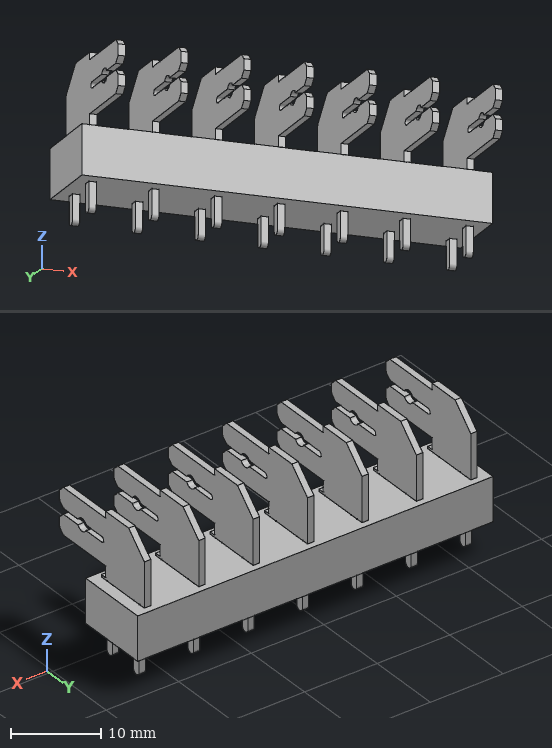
import cadquery as cq

housing_length = 49.0
housing_depth = 9.8
housing_height = 6.0

contact_count = 7
contact_pitch = 7.5
contact_thickness = 0.9

plate_margin = 0.9
plate_height = 9.0
plate_back_chamfer = 2.95
foot_height = 0.3
foot_front = 0.85
foot_projection = 0.8

plate_back = housing_depth - plate_margin
plate_front = foot_front + foot_projection

tongue_tip = -7.05
tongue_drop = 0.9
tongue_height = 6.3
prong_chamfer = 0.75
slot_width = 0.75
slot_end = 1.25
relief_diameter = 1.65
relief_y = -2.8

tongue_top = plate_height - tongue_drop
tongue_bottom = tongue_top - tongue_height
tongue_middle = tongue_top - tongue_height / 2
prong_height = (tongue_height - slot_width) / 2

pin_width = 1.1
pin_spacing = 5.0
pin_middle = housing_depth / 2
pin_projection = 3.55

pin_end = -housing_height - pin_projection
pin_places = [pin_middle - pin_spacing / 2, pin_middle + pin_spacing / 2]

first_contact = -contact_pitch * (contact_count - 1) / 2
contact_places = [first_contact + i * contact_pitch for i in range(contact_count)]


def extrude_thickness(outline):
    """Extrude a closed Y-Z outline to the contact thickness, centred on X = 0."""
    return outline.extrude(contact_thickness / 2, both=True)


def make_block(y_low, y_high, z_low, z_high):
    """Block of contact thickness, centred on X = 0."""
    outline = cq.Workplane("YZ").moveTo(y_low, z_low).lineTo(y_high, z_low)
    outline = outline.lineTo(y_high, z_high).lineTo(y_low, z_high).close()
    return extrude_thickness(outline)


def make_plate():
    """Upright plate with a chamfered back corner and a low foot in front."""
    outline = (
        cq.Workplane("YZ")
        .moveTo(plate_back, 0)
        .lineTo(plate_back, plate_height - plate_back_chamfer)
        .lineTo(plate_back - plate_back_chamfer, plate_height)
        .lineTo(plate_front, plate_height)
        .lineTo(plate_front, foot_height)
        .lineTo(foot_front, foot_height)
        .lineTo(foot_front, 0)
        .close()
    )
    return extrude_thickness(outline)


def make_prong(z_low):
    """One prong of the fork, with both corners of its tip chamfered."""
    prong = make_block(tongue_tip, plate_front, z_low, z_low + prong_height)
    return prong.faces("<Y").edges("|X").chamfer(prong_chamfer)


def make_pin(y):
    """Solder pin reaching down through the housing, with a fully rounded tip."""
    tip_radius = pin_width / 2
    tip_start = pin_end + tip_radius
    outline = (
        cq.Workplane("YZ")
        .moveTo(y - tip_radius, 0)
        .lineTo(y - tip_radius, tip_start)
        .threePointArc((y, pin_end), (y + tip_radius, tip_start))
        .lineTo(y + tip_radius, 0)
        .close()
    )
    return extrude_thickness(outline)


def make_slot_web():
    """Web between the prongs that ends in the concave round end of the slot."""
    slot_radius = slot_width / 2
    web_low = tongue_middle - slot_radius
    web_high = tongue_middle + slot_radius
    arc_start = slot_end - slot_radius
    outline = (
        cq.Workplane("YZ")
        .moveTo(plate_front, web_low)
        .lineTo(arc_start, web_low)
        .threePointArc((slot_end, tongue_middle), (arc_start, web_high))
        .lineTo(plate_front, web_high)
        .close()
    )
    return extrude_thickness(outline)


def make_contact():
    """Complete contact at X = 0: plate, forked tongue and two solder pins."""
    contact = make_plate().union(make_slot_web())
    for z_low in (tongue_bottom, tongue_top - prong_height):
        contact = contact.union(make_prong(z_low))
    for y in pin_places:
        contact = contact.union(make_pin(y))
    relief = cq.Workplane("YZ").center(relief_y, tongue_middle).circle(relief_diameter / 2)
    return contact.cut(extrude_thickness(relief))


def make_housing():
    """Block with a rectangular through hole for each solder pin."""
    housing = cq.Workplane("XY").box(
        housing_length, housing_depth, housing_height, centered=(True, False, False)
    )
    housing = housing.translate((0, 0, -housing_height))
    hole_places = [(x, y) for x in contact_places for y in pin_places]
    holes = cq.Workplane("XY").pushPoints(hole_places).rect(contact_thickness, pin_width)
    return housing.cut(holes.extrude(-housing_height))


housing = make_housing()
contact = make_contact()
contacts = [contact.translate((x, 0, 0)) for x in contact_places]

result = cq.Compound.makeCompound([housing.val(), *[item.val() for item in contacts]])